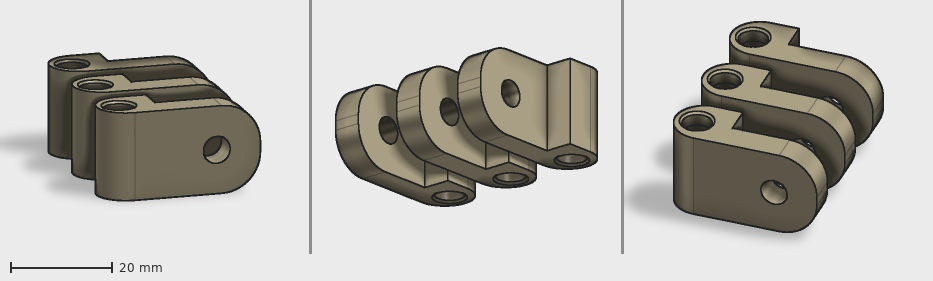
import cadquery as cq

row_length = 44.0
link_depth = 32.0
link_height = 18.0
link_count = 3

knuckle_width = 12.0
knuckle_depth = 12.0
knuckle_radius = knuckle_width / 2
arm_width = knuckle_width / 2
arm_corner_radius = 8.0
pitch = (row_length - knuckle_width) / (link_count - 1)

bore_diameter = 6.0
bore_from_front = 4.58
bore_mouth_diameter = 7.0
bore_chamfer = (bore_mouth_diameter - bore_diameter) / 2
relief_diameter = 6.5
neck_length = 3.0

cross_hole_diameter = 5.5
cross_hole_from_back = 9.0


def make_link_blank():
    """Knuckle and arm, with the front left corner of the link at the origin."""
    blank = (
        cq.Workplane("XY")
        .moveTo(0, knuckle_radius)
        .threePointArc((knuckle_radius, 0), (knuckle_width, knuckle_radius))
        .lineTo(knuckle_width, link_depth)
        .lineTo(knuckle_width - arm_width, link_depth)
        .lineTo(knuckle_width - arm_width, knuckle_depth)
        .lineTo(0, knuckle_depth)
        .close()
        .extrude(link_height)
    )
    return blank.faces(">Y").edges("|X").fillet(arm_corner_radius)


def make_bore_cutter():
    """Half profile of the pin bore, revolved about its vertical axis."""
    neck_radius = bore_diameter / 2
    mouth_radius = bore_mouth_diameter / 2
    relief_radius = relief_diameter / 2
    profile = [
        (0, 0),
        (mouth_radius, 0),
        (neck_radius, bore_chamfer),
        (neck_radius, neck_length),
        (relief_radius, neck_length),
        (relief_radius, link_height - neck_length),
        (neck_radius, link_height - neck_length),
        (neck_radius, link_height - bore_chamfer),
        (mouth_radius, link_height),
        (0, link_height),
    ]
    cutter = cq.Workplane("XZ").polyline(profile).close().revolve(360, (0, 0), (0, 1))
    return cutter.translate((knuckle_radius, bore_from_front, 0))


def make_cross_hole_cutter():
    """Cylinder along X, centred on the height of the arm."""
    return (
        cq.Workplane("YZ")
        .center(link_depth - cross_hole_from_back, link_height / 2)
        .circle(cross_hole_diameter / 2)
        .extrude(knuckle_width)
    )


def make_link(left_side):
    """One complete link whose left side stands at the given X."""
    link = make_link_blank().cut(make_bore_cutter()).cut(make_cross_hole_cutter())
    return link.translate((left_side, 0, 0))


links = [make_link(index * pitch).val() for index in range(link_count)]
result = cq.Compound.makeCompound(links)